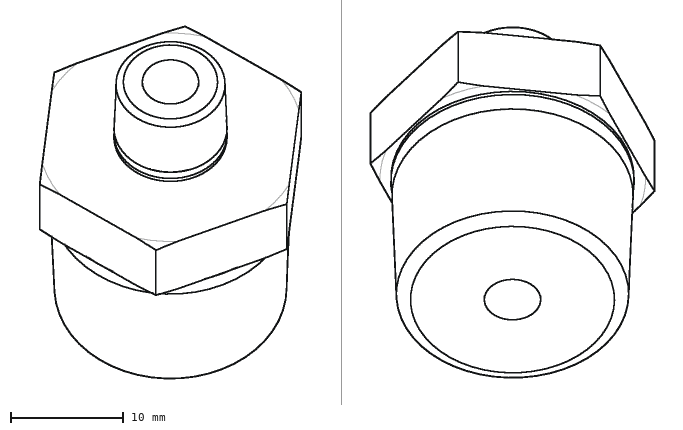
import cadquery as cq
import math

total_height = 30.0
across_flats = 22.0
across_corners = across_flats / math.cos(math.pi / 6)
hex_bottom = 15.35
hex_top = 22.15
hex_face_radius = 11.75
hex_corner_drop = 0.18

bore_radius = 2.5

large_tip_radius = 9.03
large_taper_start_radius = 10.3
large_taper_end_radius = 10.68
large_tip_chamfer_height = 0.65
large_taper_end = 13.23
large_groove_lip_radius = 9.5
large_groove_root_radius = 9.35
large_groove_bottom = 13.9
large_groove_top = 14.4
large_collar_radius = 10.77
large_collar_bottom = 14.97

small_tip_radius = 4.17
small_taper_start_radius = 4.83
small_taper_end_radius = 5.0
small_tip_chamfer_height = 0.35
small_taper_end = 23.43
small_groove_radius = 4.47
small_groove_bottom = 22.83
small_groove_top = 23.1
small_collar_radius = small_taper_end_radius
small_collar_top = 22.55


def revolve_profile(points):
    """Revolve a closed outline of (radius, height) points about the Z axis."""
    return cq.Workplane("XZ").polyline(points).close().revolve(360, (0, 0), (0, 1))


def make_large_stud():
    """Tapered stud whose V-shaped relief groove has a rounded root."""
    groove_middle = (large_groove_bottom + large_groove_top) / 2
    return (
        cq.Workplane("XZ")
        .lineTo(large_tip_radius, 0)
        .lineTo(large_taper_start_radius, large_tip_chamfer_height)
        .lineTo(large_taper_end_radius, large_taper_end)
        .lineTo(large_groove_lip_radius, large_groove_bottom)
        .threePointArc(
            (large_groove_root_radius, groove_middle),
            (large_groove_lip_radius, large_groove_top),
        )
        .lineTo(large_collar_radius, large_collar_bottom)
        .lineTo(large_collar_radius, hex_bottom)
        .lineTo(0, hex_bottom)
        .close()
        .revolve(360, (0, 0), (0, 1))
    )


def make_small_stud():
    return revolve_profile([
        (0, hex_top),
        (small_collar_radius, hex_top),
        (small_collar_radius, small_collar_top),
        (small_groove_radius, small_groove_bottom),
        (small_groove_radius, small_groove_top),
        (small_taper_end_radius, small_taper_end),
        (small_taper_start_radius, total_height - small_tip_chamfer_height),
        (small_tip_radius, total_height),
        (0, total_height),
    ])


def make_hexagon():
    """Hexagon with corners on the X axis, its corners bevelled by a turned envelope."""
    corner_radius = across_corners / 2
    prism = (
        cq.Workplane("XY", origin=(0, 0, hex_bottom))
        .polygon(6, across_corners)
        .extrude(hex_top - hex_bottom)
    )
    envelope = revolve_profile([
        (0, hex_bottom),
        (hex_face_radius, hex_bottom),
        (corner_radius, hex_bottom + hex_corner_drop),
        (corner_radius, hex_top - hex_corner_drop),
        (hex_face_radius, hex_top),
        (0, hex_top),
    ])
    return prism.intersect(envelope)


bore = cq.Workplane("XY").circle(bore_radius).extrude(total_height)

result = make_hexagon().union(make_large_stud()).union(make_small_stud()).cut(bore)